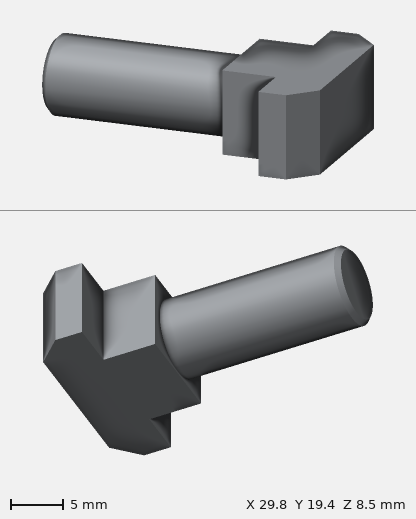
import cadquery as cq

total_length = 29.8
head_width = 19.4
head_height = 8.5

head_thickness = 5.33
head_corner_chamfer = 2.5
neck_length = 5.48
neck_width = 10.0

stem_diameter = 8.0
stem_tip_chamfer = 0.5
stem_length = total_length - head_thickness - neck_length


def block(start_x, length, width):
    """Block of head height, centred on the bolt axis, starting at start_x."""
    return (
        cq.Workplane("XY")
        .box(length, width, head_height, centered=(False, True, True))
        .translate((start_x, 0, 0))
    )


def make_stem():
    """Cylinder along X with a chamfered free end."""
    stem = cq.Workplane("YZ").circle(stem_diameter / 2).extrude(stem_length)
    return stem.faces("<X").chamfer(stem_tip_chamfer)


def make_head():
    """T-shaped crosspiece with its two outer corners cut off."""
    head = block(stem_length + neck_length, head_thickness, head_width)
    return head.edges("|Z and >X").chamfer(head_corner_chamfer)


neck = block(stem_length, neck_length, neck_width)
result = make_stem().union(neck).union(make_head())